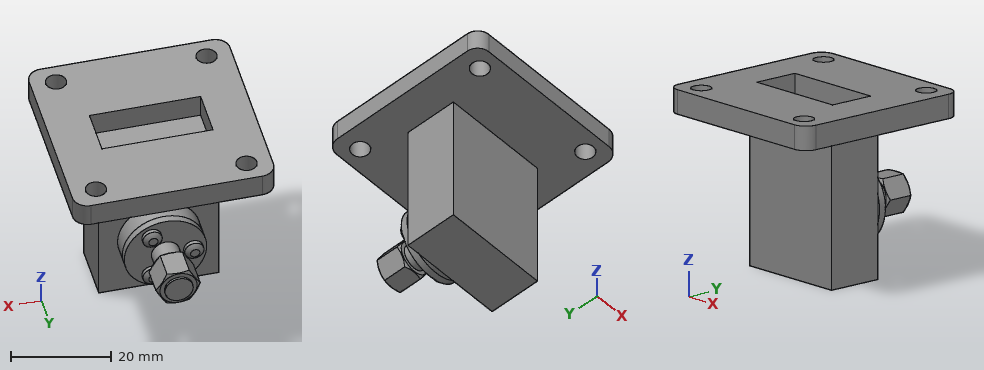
import cadquery as cq
import math


FLANGE_SIDE = 41.4
FLANGE_THICKNESS = 5.1
FLANGE_CORNER_RADIUS = 3.05
TOTAL_HEIGHT = 38.0
BLOCK_WIDTH = 24.75
BLOCK_DEPTH = 12.35
WINDOW_WIDTH = 22.9
WINDOW_DEPTH = 10.1
HOLE_DIAMETER = 4.2
HOLE_SPACING_X = 31.0
HOLE_SPACING_Y = 32.55
BOSS_DIAMETER = 17.0
BOSS_LENGTH = 3.85

OVERALL_DEPTH = 43.45
CONNECTOR_AXIS_Z = 13.0
PLATE_THICKNESS = 1.55
BARREL_DIAMETER = 5.8
TIP_LENGTH = 0.48
NUT_SIDES = 6
NUT_LENGTH = 6.35
NUT_ACROSS_FLATS = 7.95
NUT_END_DIAMETER = 7.65
NUT_CHAMFER_ANGLE = 30.0

SCREW_COUNT = 3
SCREW_CIRCLE_RADIUS = 5.75
SCREW_FIRST_ANGLE = 60.0
HEAD_DIAMETER = 4.0
HEAD_FACE_DIAMETER = 1.9
HEAD_RIM_HEIGHT = 0.83
HEAD_DOME_HEIGHT = 0.75

FLANGE_BOTTOM_Z = TOTAL_HEIGHT - FLANGE_THICKNESS
BLOCK_BACK_Y = BLOCK_DEPTH / 2
BOSS_END_Y = BLOCK_BACK_Y + BOSS_LENGTH
PLATE_END_Y = BOSS_END_Y + PLATE_THICKNESS
TIP_END_Y = OVERALL_DEPTH - FLANGE_SIDE / 2
NUT_END_Y = TIP_END_Y - TIP_LENGTH
NUT_START_Y = NUT_END_Y - NUT_LENGTH


def connector_plane(y):
    """Sketch plane on the connector axis at depth y: local y is Z, extrusions run toward +Y."""
    return cq.Workplane(cq.Plane(origin=(0, y, CONNECTOR_AXIS_Z), xDir=(-1, 0, 0), normal=(0, 1, 0)))


def make_waveguide():
    flange = (
        cq.Workplane("XY", origin=(0, 0, FLANGE_BOTTOM_Z))
        .rect(FLANGE_SIDE, FLANGE_SIDE)
        .extrude(FLANGE_THICKNESS)
        .edges("|Z")
        .fillet(FLANGE_CORNER_RADIUS)
    )
    mounting_holes = (
        cq.Workplane("XY", origin=(0, 0, FLANGE_BOTTOM_Z))
        .rect(HOLE_SPACING_X, HOLE_SPACING_Y, forConstruction=True)
        .vertices()
        .circle(HOLE_DIAMETER / 2)
        .extrude(FLANGE_THICKNESS)
    )
    window = (
        cq.Workplane("XY", origin=(0, 0, FLANGE_BOTTOM_Z))
        .rect(WINDOW_WIDTH, WINDOW_DEPTH)
        .extrude(FLANGE_THICKNESS)
    )
    block = cq.Workplane("XY").rect(BLOCK_WIDTH, BLOCK_DEPTH).extrude(FLANGE_BOTTOM_Z)
    boss = connector_plane(BLOCK_BACK_Y).circle(BOSS_DIAMETER / 2).extrude(BOSS_LENGTH)
    return flange.cut(mounting_holes).cut(window).union(block).union(boss)


def make_nut():
    """Hexagon with flats facing up and down, its corners turned off conically at both ends."""
    corner_radius = NUT_ACROSS_FLATS / 2 / math.cos(math.pi / NUT_SIDES)
    chamfer_depth = corner_radius - NUT_END_DIAMETER / 2
    chamfer_length = chamfer_depth * math.tan(math.radians(NUT_CHAMFER_ANGLE))
    hexagon = connector_plane(NUT_START_Y).polygon(NUT_SIDES, 2 * corner_radius).extrude(NUT_LENGTH)
    turned_blank = (
        connector_plane(NUT_START_Y)
        .circle(corner_radius)
        .extrude(NUT_LENGTH)
        .edges()
        .chamfer(chamfer_length, chamfer_depth)
    )
    return hexagon.intersect(turned_blank)


def make_connector():
    plate = connector_plane(BOSS_END_Y).circle(BOSS_DIAMETER / 2).extrude(PLATE_THICKNESS)
    barrel = connector_plane(PLATE_END_Y).circle(BARREL_DIAMETER / 2).extrude(TIP_END_Y - PLATE_END_Y)
    return plate.union(barrel).union(make_nut())


def make_screw_head(angle):
    """Head resting on the connector plate; the angle runs from +X toward +Z."""
    rim_radius = HEAD_DIAMETER / 2
    face_radius = HEAD_FACE_DIAMETER / 2
    head_height = HEAD_RIM_HEIGHT + HEAD_DOME_HEIGHT
    centre_drop = (rim_radius**2 - face_radius**2 - HEAD_DOME_HEIGHT**2) / (2 * HEAD_DOME_HEIGHT)
    dome_radius = math.hypot(rim_radius, centre_drop)
    middle_radius = (rim_radius + face_radius) / 2
    middle_height = HEAD_RIM_HEIGHT - centre_drop + math.sqrt(dome_radius**2 - middle_radius**2)
    head = (
        cq.Workplane("XY")
        .lineTo(rim_radius, 0)
        .lineTo(rim_radius, HEAD_RIM_HEIGHT)
        .threePointArc((middle_radius, middle_height), (face_radius, head_height))
        .lineTo(0, head_height)
        .close()
        .revolve(360, (0, 0, 0), (0, 1, 0))
    )
    x = SCREW_CIRCLE_RADIUS * math.cos(math.radians(angle))
    z = CONNECTOR_AXIS_Z + SCREW_CIRCLE_RADIUS * math.sin(math.radians(angle))
    return head.translate((x, PLATE_END_Y, z))


waveguide = make_waveguide()
connector = make_connector()
screw_heads = [make_screw_head(SCREW_FIRST_ANGLE + i * 360 / SCREW_COUNT) for i in range(SCREW_COUNT)]

result = cq.Compound.makeCompound(
    [waveguide.val(), connector.val(), *[head.val() for head in screw_heads]]
)